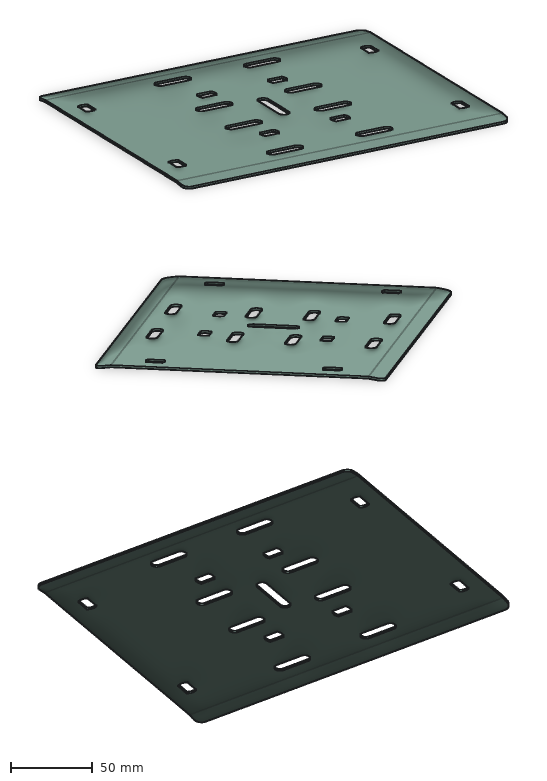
import cadquery as cq
import math

width = 180.0
length = 230.0
height = 3.0
thickness = 1.5
corner_radius = 5.0

bend_x = 80.0
bend_inner_radius = 1.5

opening_width = 7.0

long_slot_length = 25.0
long_slot_y = 31.5
outer_slot_x = 68.0
inner_slot_x = 18.0

center_slot_length = 32.0

short_hole_diameter = 12.0
middle_hole_x = 38.0
middle_hole_y = 25.0
corner_hole_x = 55.0
corner_hole_y = 100.0


def bent_sheet():
    """Sheet section (flat middle, two drooping wings) extruded along Y."""
    half_width = width / 2
    wing_run = half_width - bend_x
    wing_slope = math.atan2(height - thickness, wing_run)
    lower_bend_x = bend_x - thickness * math.tan(wing_slope / 2)
    wing_end_top = thickness
    flat_bottom = height - thickness
    section = (
        cq.Workplane("XZ")
        .moveTo(-half_width, 0)
        .lineTo(-half_width, wing_end_top)
        .lineTo(-bend_x, height)
        .lineTo(bend_x, height)
        .lineTo(half_width, wing_end_top)
        .lineTo(half_width, 0)
        .lineTo(lower_bend_x, flat_bottom)
        .lineTo(-lower_bend_x, flat_bottom)
        .close()
    )
    sheet = section.extrude(length / 2, both=True)
    sheet = fillet_bend(sheet, bend_x, height, bend_inner_radius + thickness)
    sheet = fillet_bend(sheet, lower_bend_x, flat_bottom, bend_inner_radius)
    outline = cq.Workplane("XY").rect(width, length).extrude(height).edges("|Z").fillet(corner_radius)
    return sheet.intersect(outline)


def fillet_bend(sheet, x, z, radius):
    """Round the pair of bend edges at +x and -x, height z."""
    tolerance = 0.1
    for side in (-1, 1):
        picker = cq.selectors.BoxSelector(
            (side * x - tolerance, -length, z - tolerance),
            (side * x + tolerance, length, z + tolerance),
        )
        sheet = sheet.edges("|Y").edges(picker).fillet(radius)
    return sheet


def four_fold(x, y):
    """The four positions mirrored about both center lines."""
    return [(sx * x, sy * y) for sx in (-1, 1) for sy in (-1, 1)]


def slot_cutter(points, slot_length, angle):
    """Round-ended slots, turned by angle degrees from the X axis."""
    return cq.Workplane("XY").pushPoints(points).slot2D(slot_length, opening_width, angle).extrude(height)


def short_hole_cutter(points, size_x, size_y):
    """Circles clipped to a size_x by size_y box."""
    circles = cq.Workplane("XY").pushPoints(points).circle(short_hole_diameter / 2).extrude(height)
    boxes = cq.Workplane("XY").pushPoints(points).rect(size_x, size_y).extrude(height)
    return circles.intersect(boxes)


cutters = [
    slot_cutter(four_fold(outer_slot_x, long_slot_y), long_slot_length, 90),
    slot_cutter(four_fold(inner_slot_x, long_slot_y), long_slot_length, 90),
    slot_cutter([(0, 0)], center_slot_length, 0),
    short_hole_cutter(four_fold(middle_hole_x, middle_hole_y), opening_width, short_hole_diameter),
    short_hole_cutter(four_fold(corner_hole_x, corner_hole_y), short_hole_diameter, opening_width),
]

result = bent_sheet()
for cutter in cutters:
    result = result.cut(cutter)